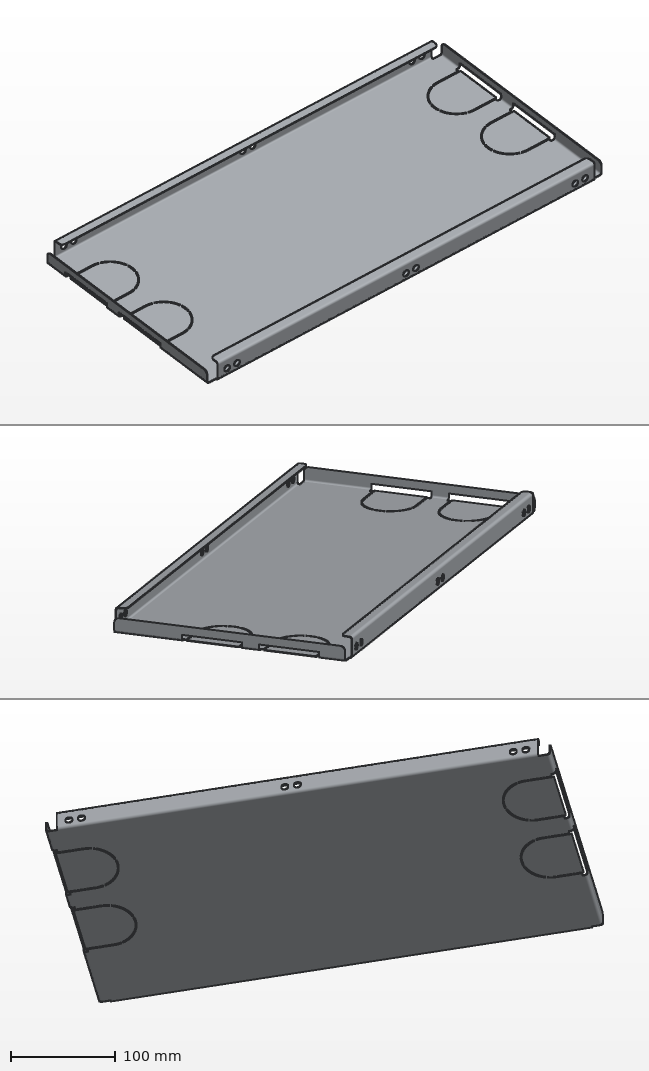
import cadquery as cq

length = 494.0
width = 243.5
height = 22.0
half_length = length / 2
half_width = width / 2

sheet = 1.0
bend_inner = 2.0
bend_outer = bend_inner + sheet

side_length = 471.5
lip_width = 11.5
lip_corner = 5.0

end_height = 15.5
end_width = width - 2 * bend_outer
end_corner = 5.0

hole_diameter = 7.0
hole_level = 9.0
hole_spacing = 12.5
outer_hole = 224.0
hole_pair_starts = [-outer_hole, 0.0, outer_hole - hole_spacing]

tongue_places = [-61.5, 18.5]
slit_width = 1.0
slit_radius = 27.5
slit_reach = 58.5
arc_centre = half_length - slit_reach + slit_radius

bridge_width = 2.5
low_bridge = 18.0
high_bridge = 77.0
bridge_angles = [low_bridge, high_bridge, 180 - high_bridge, 180 - low_bridge]
bridge_run = 4 * slit_width

window_width = 61.8
window_top = 6.5
window_depth = 5.0


def make_floor():
    return cq.Workplane("XY").box(
        end_width, length - 2 * bend_outer, sheet, centered=(True, True, False)
    )


def bent_wall(plane, reach, top, run, lip=0.0):
    """Wall at distance reach from the centre, bent up from the floor, with an optional lip."""
    start = reach - bend_outer
    inside = reach - sheet
    outline = (
        cq.Workplane(plane)
        .moveTo(start, 0)
        .radiusArc((reach, bend_outer), -bend_outer)
    )
    if lip:
        bend_level = top - bend_outer
        outline = (
            outline.lineTo(reach, bend_level)
            .radiusArc((start, top), -bend_outer)
            .lineTo(reach - lip, top)
            .lineTo(reach - lip, top - sheet)
            .lineTo(start, top - sheet)
            .radiusArc((inside, bend_level), bend_inner)
        )
    else:
        outline = outline.lineTo(reach, top).lineTo(inside, top)
    return (
        outline.lineTo(inside, bend_outer)
        .radiusArc((start, sheet), bend_inner)
        .close()
        .extrude(run / 2, both=True)
    )


def make_side_wall():
    """Side wall on +X with rounded lip corners and its mounting holes."""
    wall = bent_wall("XZ", half_width, height, side_length, lip_width)
    wall = wall.edges("|Z").edges("<X").fillet(lip_corner)
    hole_points = []
    for start in hole_pair_starts:
        hole_points.append((start, hole_level))
        hole_points.append((start + hole_spacing, hole_level))
    holes = (
        cq.Workplane("YZ")
        .pushPoints(hole_points)
        .circle(hole_diameter / 2)
        .extrude(width)
    )
    return wall.cut(holes)


def make_end_wall():
    """End wall on +Y with rounded upper corners."""
    wall = bent_wall("YZ", half_length, end_height, end_width)
    return wall.edges("|Y").edges(">Z").fillet(end_corner)


def tongue_blank(place, radius):
    """U-shaped plate from the end bend inward, closed by a half circle."""
    return (
        cq.Workplane("XY")
        .moveTo(place - radius, half_length - bend_outer)
        .lineTo(place - radius, arc_centre)
        .threePointArc((place, arc_centre - radius), (place + radius, arc_centre))
        .lineTo(place + radius, half_length - bend_outer)
        .close()
        .extrude(sheet)
    )


def make_slit(place):
    """U-shaped slit around one tongue, interrupted by the bridges."""
    slit = tongue_blank(place, slit_radius).cut(tongue_blank(place, slit_radius - slit_width))
    for angle in bridge_angles:
        bridge = (
            cq.Workplane("XY")
            .center(place, arc_centre)
            .transformed(rotate=(0, 0, -angle))
            .center(slit_radius, 0)
            .rect(bridge_run, bridge_width)
            .extrude(sheet)
        )
        slit = slit.cut(bridge)
    return slit


def make_window(place):
    """Opening through the end bend above one tongue, plus a floor notch on each side of it."""
    opening = (
        cq.Workplane("XY")
        .box(window_width, bend_outer, window_top, centered=(True, False, False))
        .translate((place, half_length - bend_outer, 0))
    )
    notches = (
        cq.Workplane("XY")
        .center(place, half_length)
        .rect(window_width, 2 * window_depth)
        .rect(2 * (slit_radius - slit_width), 2 * window_depth)
        .extrude(sheet)
    )
    return opening.union(notches)


side_wall = make_side_wall()
end_wall = make_end_wall()
result = (
    make_floor()
    .union(side_wall)
    .union(side_wall.mirror("YZ"))
    .union(end_wall)
    .union(end_wall.mirror("XZ"))
)
for tongue_place in tongue_places:
    cutter = make_slit(tongue_place).union(make_window(tongue_place))
    result = result.cut(cutter).cut(cutter.mirror("XZ"))